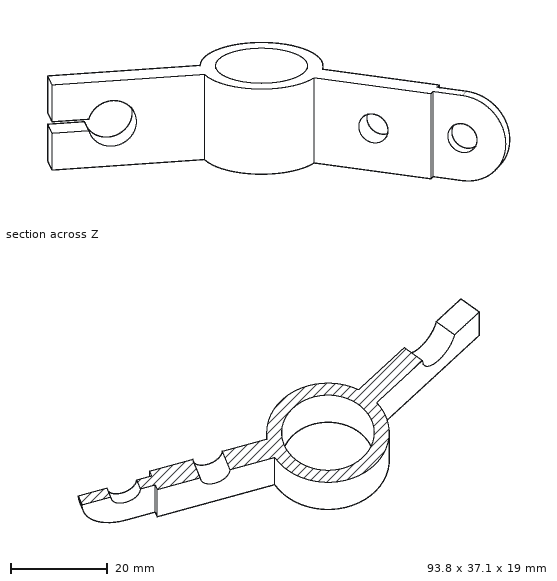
import cadquery as cq
import math

overall_length = 93.75

height = 19.0
bore_diameter = 19.0
ring_diameter = 25.4

arm_thickness = 5.1
bolt_diameter = 6.4

slotted_arm_length = 44.4
slotted_arm_angle = 30
clamp_hole_distance = 31.8
clamp_hole_diameter = 10.1
slot_width = 2.5
slotted_arm_reach = (
    slotted_arm_length * math.cos(math.radians(slotted_arm_angle))
    + arm_thickness / 2 * math.sin(math.radians(slotted_arm_angle))
)

shoulder_distance = 38.1
inner_bolt_distance = 25.4
tongue_thickness = arm_thickness / 2
tongue_radius = height / 2
tongue_bolt_distance = overall_length - slotted_arm_reach - tongue_radius


def bar(length, thickness):
    """Full-height bar from the ring axis towards +X, centred on Y and Z."""
    return cq.Workplane("XY").box(length, thickness, height, centered=(False, True, True))


def cylinder(plane, diameter, length):
    """Cylinder on the normal of a plane, centred on the origin."""
    return cq.Workplane(plane).workplane(offset=-length / 2).circle(diameter / 2).extrude(length)


def cross_hole(distance, diameter):
    """Cutter along Y at a signed X distance from the ring axis."""
    return cylinder("XZ", diameter, arm_thickness).translate((distance, 0, 0))


def straight_arm():
    tongue = bar(tongue_bolt_distance, tongue_thickness)
    tongue_end = cylinder("XZ", 2 * tongue_radius, tongue_thickness)
    tongue_end = tongue_end.translate((tongue_bolt_distance, 0, 0))
    arm = bar(shoulder_distance, arm_thickness).union(tongue).union(tongue_end)
    for distance in (inner_bolt_distance, tongue_bolt_distance):
        arm = arm.cut(cross_hole(distance, bolt_diameter))
    return arm


def slotted_arm():
    arm = bar(slotted_arm_length, arm_thickness).translate((-slotted_arm_length, 0, 0))
    arm = arm.cut(cross_hole(-clamp_hole_distance, clamp_hole_diameter))
    slot_length = slotted_arm_length - clamp_hole_distance
    slot = (
        cq.Workplane("XY")
        .box(slot_length, arm_thickness, slot_width, centered=(False, True, True))
        .translate((-slotted_arm_length, 0, 0))
    )
    return arm.cut(slot).rotate((0, 0, 0), (0, 0, 1), slotted_arm_angle)


ring = cylinder("XY", ring_diameter, height)
bore = cylinder("XY", bore_diameter, height)

result = ring.union(straight_arm()).union(slotted_arm()).cut(bore)